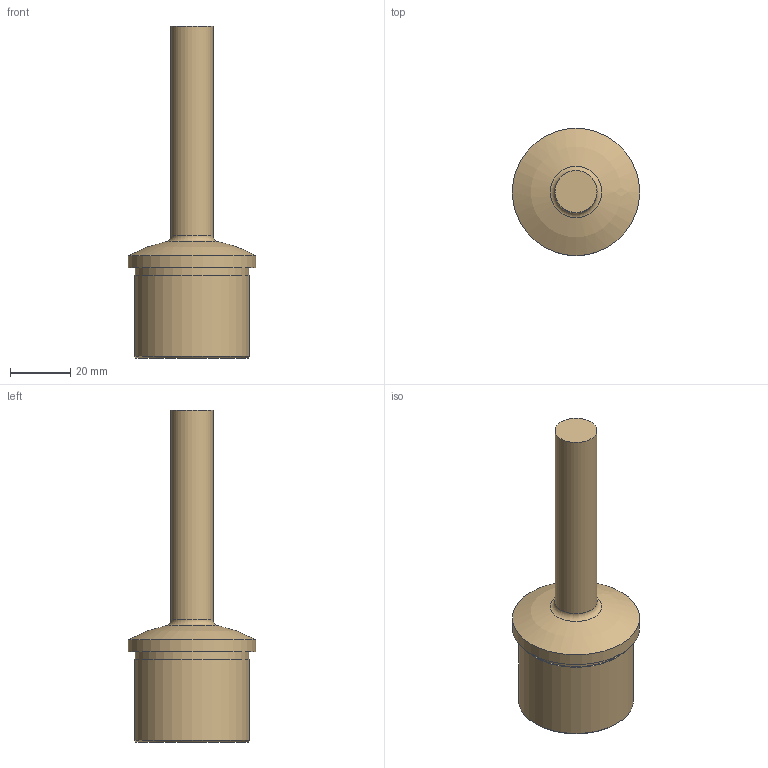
import cadquery as cq
import math

total_height = 110.5
rod_radius = 14.0 / 2
flange_radius = 42.4 / 2
plug_radius = 38.3 / 2
neck_radius = 37.7 / 2
plug_height = 27.5
neck_height = 2.5
flange_height = 4.0
base_chamfer = 0.5
dome_radius = 43.0
fillet_radius = 2.0

flange_bottom = plug_height + neck_height
flange_top = flange_bottom + flange_height
dome_center = flange_top - math.sqrt(dome_radius**2 - flange_radius**2)

blend_center_r = rod_radius + fillet_radius
blend_center_z = dome_center + math.sqrt((dome_radius + fillet_radius) ** 2 - blend_center_r**2)
blend_slope = math.atan2(blend_center_z - dome_center, blend_center_r)
rim_slope = math.atan2(flange_top - dome_center, flange_radius)


def dome_point(angle):
    """Point of the dome profile at an angle above the horizontal."""
    return (dome_radius * math.cos(angle), dome_center + dome_radius * math.sin(angle))


def blend_point(angle):
    """Point of the blend circle at an angle from the outward direction."""
    return (
        blend_center_r + fillet_radius * math.cos(angle),
        blend_center_z + fillet_radius * math.sin(angle),
    )


blend_start = blend_slope + math.pi
blend_end = math.pi

profile = (
    cq.Workplane("XZ")
    .moveTo(0, 0)
    .lineTo(plug_radius - base_chamfer, 0)
    .lineTo(plug_radius, base_chamfer)
    .lineTo(plug_radius, plug_height)
    .lineTo(neck_radius, plug_height)
    .lineTo(neck_radius, flange_bottom)
    .lineTo(flange_radius, flange_bottom)
    .lineTo(flange_radius, flange_top)
    .threePointArc(dome_point((rim_slope + blend_slope) / 2), dome_point(blend_slope))
    .threePointArc(blend_point((blend_start + blend_end) / 2), blend_point(blend_end))
    .lineTo(rod_radius, total_height)
    .lineTo(0, total_height)
    .close()
)

result = profile.revolve(360, (0, 0, 0), (0, 1, 0))